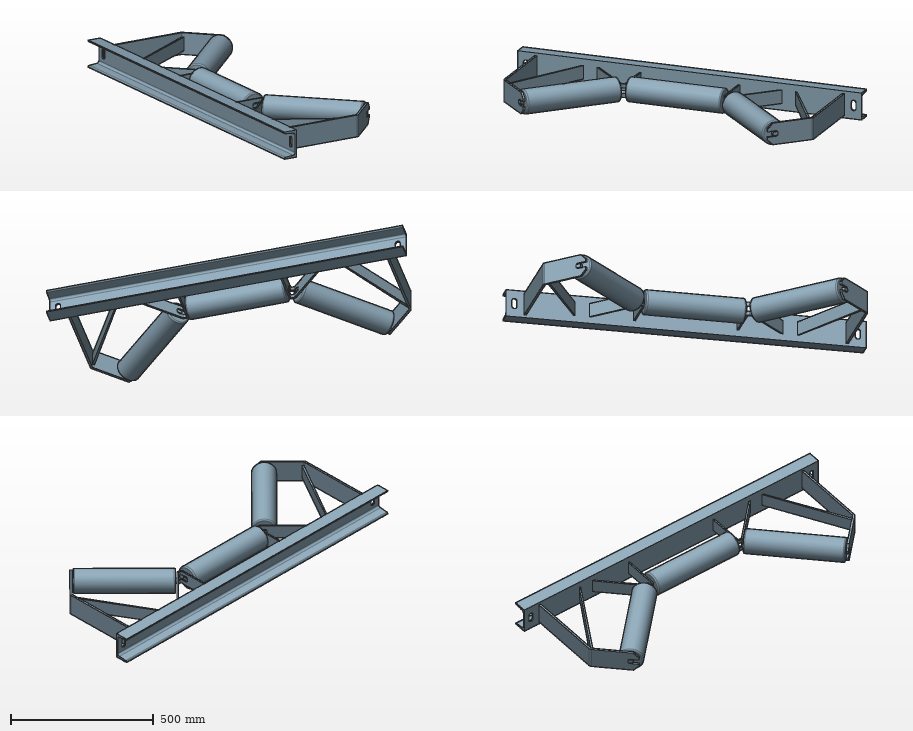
import cadquery as cq
import math

beam_length = 1300.0
beam_height = 100.0
flange_width = 50.0
web_thickness = 6.0
flange_mid_thickness = 8.5
flange_slope = 0.08
root_radius = 8.5
toe_radius = 4.5

mount_slot_spacing = 1240.0
mount_slot_width = 18.0
mount_slot_length = 38.0

roller_diameter = 89.0
roller_length = 360.0
roller_edge_radius = 5.0
trough_angle = 45.0
center_roller_y = 117.0
side_roller_x = 348.0
side_roller_y = 261.84

shaft_diameter = 20.0
shaft_flat_width = 14.0
bracket_slot_width = 20.0

outer_bar_thickness = 8.0
outer_bar_width = 80.0
inner_bar_thickness = 6.0
inner_bar_width = 50.0
bend_radius = 4.0
roller_gap = 4.0
tip_height = 30.0
tip_taper = 20.0
inner_top_height = 27.0
outer_leg_x = 577.5
brace_width = 50.0
brace_thickness = 5.0
brace_foot_x = 404.0

near_face = roller_length / 2 + roller_gap
cos_trough = math.cos(math.radians(trough_angle))
sin_trough = math.sin(math.radians(trough_angle))


def side_point(along, above):
    """XY point given along and square to the right side roller's axis, from its middle."""
    x = side_roller_x + along * cos_trough - above * sin_trough
    y = side_roller_y + along * sin_trough + above * cos_trough
    return (x, y)


def sloped_face_at_x(along, x):
    """Point with the given X on the plane square to the side roller's axis at `along`."""
    above = (side_point(along, 0)[0] - x) / sin_trough
    return side_point(along, above)


def sloped_face_at_y(along, y):
    """Point with the given Y on the plane square to the side roller's axis at `along`."""
    above = (y - side_point(along, 0)[1]) / cos_trough
    return side_point(along, above)


def fillet_at(body, point, radius):
    return body.edges(cq.selectors.NearestToPointSelector(point)).fillet(radius)


def bar(outline, width):
    """Flat bar seen edge-on in the XY plane, centred on Z = 0."""
    return cq.Workplane("XY", origin=(0, 0, -width / 2)).polyline(outline).close().extrude(width)


def at_center_roller(body):
    return body.translate((0, center_roller_y, 0))


def at_side_roller(body):
    """Move a body built along X about the origin to the right side roller's place."""
    turned = body.rotate((0, 0, 0), (0, 0, 1), trough_angle)
    return turned.translate((side_roller_x, side_roller_y, 0))


def make_beam():
    half_height = beam_height / 2

    def inner_z(y):
        return half_height - flange_mid_thickness - flange_slope * (flange_width / 2 + y)

    root = (-web_thickness, inner_z(-web_thickness))
    toe = (-flange_width, inner_z(-flange_width))
    beam = (
        cq.Workplane("YZ", origin=(-beam_length / 2, 0, 0))
        .moveTo(0, -half_height)
        .lineTo(0, half_height)
        .lineTo(-flange_width, half_height)
        .lineTo(*toe)
        .lineTo(*root)
        .lineTo(root[0], -root[1])
        .lineTo(toe[0], -toe[1])
        .lineTo(-flange_width, -half_height)
        .close()
        .extrude(beam_length)
    )
    for side in (-1, 1):
        beam = fillet_at(beam, (0, root[0], side * root[1]), root_radius)
        beam = fillet_at(beam, (0, toe[0], side * toe[1]), toe_radius)
    mount_slots = (
        cq.Workplane("XZ")
        .pushPoints([(-mount_slot_spacing / 2, 0), (mount_slot_spacing / 2, 0)])
        .slot2D(mount_slot_length, mount_slot_width, 90)
        .extrude(web_thickness)
    )
    return beam.cut(mount_slots)


def shaft_slot(start, length, depth):
    """Cutter for a round-bottomed slot open upward, for a shaft along X at the origin."""
    half_width = bracket_slot_width / 2
    return (
        cq.Workplane("YZ", origin=(start, 0, 0))
        .moveTo(depth, half_width)
        .lineTo(0, half_width)
        .threePointArc((-half_width, 0), (0, -half_width))
        .lineTo(depth, -half_width)
        .close()
        .extrude(length)
    )


def tip_corners():
    """Cutter for the two corners at the tip of the outer bracket, at the right side roller."""
    half_width = outer_bar_width / 2
    corner = (
        cq.Workplane("YZ", origin=(near_face, 0, 0))
        .moveTo(tip_height - tip_taper, half_width)
        .lineTo(tip_height, half_width)
        .lineTo(tip_height, half_width - tip_taper)
        .close()
        .extrude(outer_bar_thickness)
    )
    return corner.union(corner.mirror("XY"))


def make_brace(bend_corner):
    """Flat bar from the beam up into the inside corner of the outer bracket's bend."""
    lean = math.atan2(bend_corner[0] - brace_foot_x, bend_corner[1])
    level_width = brace_thickness / math.cos(lean)
    outline = [
        (brace_foot_x - level_width / 2, 0),
        (brace_foot_x + level_width / 2, 0),
        bend_corner,
        sloped_face_at_x(near_face, bend_corner[0] - level_width),
    ]
    return bar(outline, brace_width)


def make_outer_bracket():
    """Upright that bends inward to cross the outer end of the right side roller."""
    far_face = near_face + outer_bar_thickness
    inside_corner = sloped_face_at_x(near_face, outer_leg_x)
    outside_corner = sloped_face_at_x(far_face, outer_leg_x + outer_bar_thickness)
    outline = [
        (outer_leg_x, 0),
        inside_corner,
        side_point(near_face, tip_height),
        side_point(far_face, tip_height),
        outside_corner,
        (outer_leg_x + outer_bar_thickness, 0),
    ]
    bracket = bar(outline, outer_bar_width)
    bracket = fillet_at(bracket, (*inside_corner, 0), bend_radius)
    bracket = fillet_at(bracket, (*outside_corner, 0), bend_radius + outer_bar_thickness)
    slot = shaft_slot(near_face, outer_bar_thickness, tip_height)
    bracket = bracket.cut(at_side_roller(tip_corners())).cut(at_side_roller(slot))
    return bracket.union(make_brace(inside_corner))


def make_inner_bracket():
    """Upright at the middle roller, bent over a flat top and down beside the side roller."""
    far_face = near_face + inner_bar_thickness
    top_y = center_roller_y + inner_top_height
    under_y = top_y - inner_bar_thickness
    top_corners = [(near_face, top_y), sloped_face_at_y(-near_face, top_y)]
    under_corners = [(far_face, under_y), sloped_face_at_y(-far_face, under_y)]
    outline = [
        (near_face, 0),
        *top_corners,
        sloped_face_at_y(-near_face, 0),
        sloped_face_at_y(-far_face, 0),
        *reversed(under_corners),
        (far_face, 0),
    ]
    bracket = bar(outline, inner_bar_width)
    for corner in top_corners:
        bracket = fillet_at(bracket, (*corner, 0), bend_radius + inner_bar_thickness)
    for corner in under_corners:
        bracket = fillet_at(bracket, (*corner, 0), bend_radius)
    top_length = top_corners[1][0] - near_face
    upright_slot = shaft_slot(near_face, top_length, inner_top_height)
    sloped_slot = shaft_slot(-far_face, inner_bar_thickness, inner_top_height)
    return bracket.cut(at_center_roller(upright_slot)).cut(at_side_roller(sloped_slot))


def make_frame():
    """Beam with the welded brackets, the same on both sides of X = 0."""
    frame = make_beam()
    for bracket in (make_outer_bracket(), make_inner_bracket()):
        frame = frame.union(bracket).union(bracket.mirror("YZ"))
    return frame


def make_roller():
    roller = (
        cq.Workplane("ZY", origin=(roller_length / 2, 0, 0))
        .circle(roller_diameter / 2)
        .extrude(roller_length)
        .edges()
        .fillet(roller_edge_radius)
    )
    bore = (
        cq.Workplane("ZY", origin=(roller_length / 2, 0, 0))
        .circle(shaft_diameter / 2)
        .extrude(roller_length)
    )
    return roller.cut(bore)


def make_shaft(left_bar, right_bar):
    """Shaft ending flush with the outsides of the bars, of the given thicknesses, at its ends."""
    left_end = -near_face - left_bar
    right_end = near_face + right_bar
    shaft = (
        cq.Workplane("ZY", origin=(right_end, 0, 0))
        .circle(shaft_diameter / 2)
        .extrude(right_end - left_end)
    )
    flat_depth = (shaft_diameter - shaft_flat_width) / 2
    for flat_middle, flat_length in (
        ((left_end - near_face) / 2, left_bar),
        ((right_end + near_face) / 2, right_bar),
    ):
        for side in (-1, 1):
            flat = cq.Workplane("XY").box(flat_length, shaft_diameter, flat_depth)
            flat_z = side * (shaft_diameter - flat_depth) / 2
            shaft = shaft.cut(flat.translate((flat_middle, 0, flat_z)))
    return shaft


frame = make_frame()
roller = make_roller()
center_roller = at_center_roller(roller)
right_roller = at_side_roller(roller)
left_roller = right_roller.mirror("YZ")
center_shaft = at_center_roller(make_shaft(inner_bar_thickness, inner_bar_thickness))
right_shaft = at_side_roller(make_shaft(inner_bar_thickness, outer_bar_thickness))
left_shaft = right_shaft.mirror("YZ")

result = cq.Compound.makeCompound([
    frame.val(),
    center_roller.val(),
    right_roller.val(),
    left_roller.val(),
    center_shaft.val(),
    right_shaft.val(),
    left_shaft.val(),
])